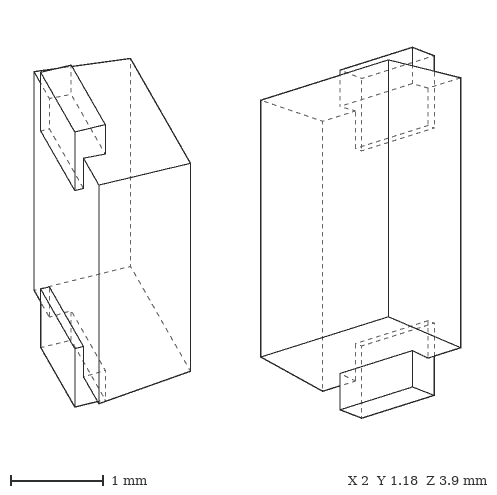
import cadquery as cq
import math

BODY_WIDTH = 2.0
BODY_LENGTH = 3.1
BODY_DEPTH = 1.08
DRAFT_ANGLE = 4.0

OVERALL_LENGTH = 3.9
TERMINAL_WIDTH = 1.05
TERMINAL_LENGTH = 0.83
TERMINAL_THICKNESS = 0.35
STANDOFF = 0.1

WIDE_FACE_Y = STANDOFF
NARROW_FACE_Y = STANDOFF + BODY_DEPTH


def make_body():
    """Block with draft on its four sides, narrowing toward +Y."""
    inset = BODY_DEPTH * math.tan(math.radians(DRAFT_ANGLE))
    return (
        cq.Workplane("XZ", origin=(0, NARROW_FACE_Y, 0))
        .rect(BODY_WIDTH - 2 * inset, BODY_LENGTH - 2 * inset)
        .workplane(offset=NARROW_FACE_Y - WIDE_FACE_Y)
        .rect(BODY_WIDTH, BODY_LENGTH)
        .loft(ruled=True)
    )


def make_terminal(end):
    """Flat terminal block at the +Z (end = 1) or -Z (end = -1) end."""
    center_z = end * (OVERALL_LENGTH - TERMINAL_LENGTH) / 2
    center = (0, TERMINAL_THICKNESS / 2, center_z)
    return cq.Workplane("XY", origin=center).box(TERMINAL_WIDTH, TERMINAL_THICKNESS, TERMINAL_LENGTH)


result = make_body()
for end in (1, -1):
    result = result.union(make_terminal(end))